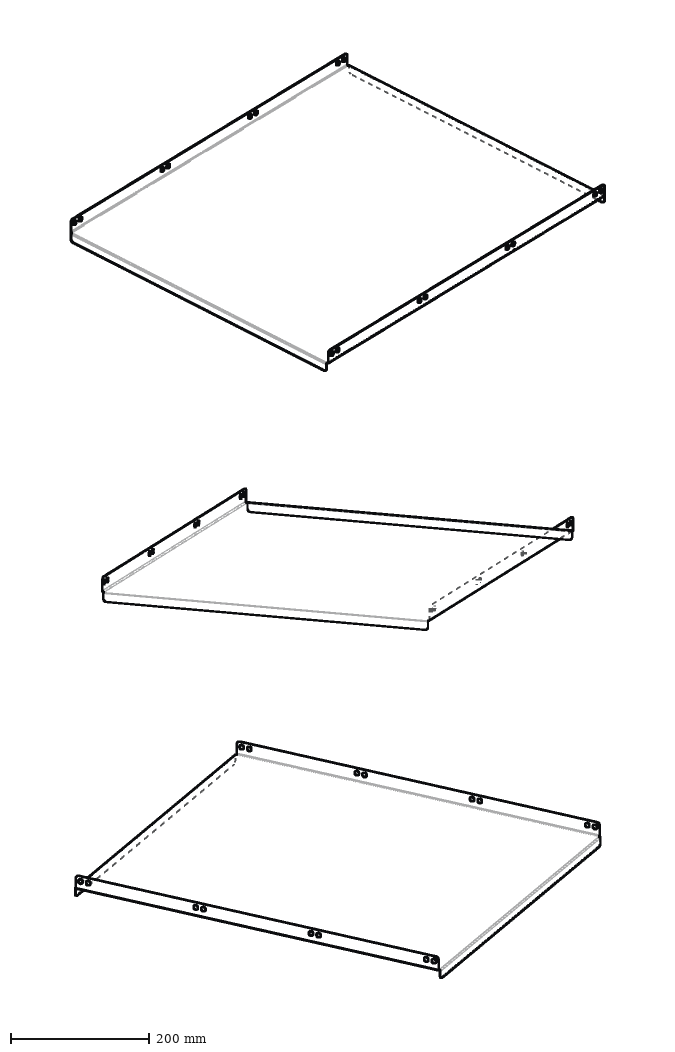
import cadquery as cq

width = 506.0
length = 596.0
height = 36.0

thickness = 1.5
inner_radius = 1.0
outer_radius = inner_radius + thickness

end_flange_depth = 15.0
side_flange_height = height - end_flange_depth + thickness
flange_corner_radius = 5.0

hole_diameter = 7.0
hole_pair_spacing = 12.5
hole_group_pitch = 188.0
hole_group_count = 4
hole_drop = 8.5

flange_top_z = side_flange_height - thickness
flat_width = width - 2 * outer_radius
flat_length = length - 2 * outer_radius


def bent_flange(plane, edge, reach, run):
    """L-shaped bend and flange starting at the flat's edge, with square free corners.

    The sketch's first axis points outward and its second axis points the way the flange turns.
    The sketch origin lies on the outside face of the sheet.
    """
    outer_face = edge + outer_radius
    inner_face = edge + inner_radius
    flange = (
        cq.Workplane(plane)
        .moveTo(edge, 0)
        .radiusArc((outer_face, outer_radius), -outer_radius)
        .lineTo(outer_face, reach)
        .lineTo(inner_face, reach)
        .lineTo(inner_face, outer_radius)
        .radiusArc((edge, thickness), inner_radius)
        .close()
        .extrude(run / 2, both=True)
    )
    return flange


def side_flange(direction):
    plane = cq.Plane(
        origin=(0, 0, -thickness), xDir=(direction, 0, 0), normal=(0, -direction, 0)
    )
    flange = bent_flange(plane, flat_width / 2, side_flange_height, flat_length)
    return flange.edges("|X and >Z").edges("<Y or >Y").fillet(flange_corner_radius)


def end_flange(direction):
    plane = cq.Plane(
        origin=(0, 0, 0), xDir=(0, direction, 0), normal=(-direction, 0, 0)
    )
    flange = bent_flange(plane, flat_length / 2, end_flange_depth, flat_width)
    return flange.edges("|Y and <Z").edges("<X or >X").fillet(flange_corner_radius)


def flange_holes():
    first_group = -hole_group_pitch * (hole_group_count - 1) / 2
    centres = []
    for group in range(hole_group_count):
        group_y = first_group + group * hole_group_pitch
        for offset in (-hole_pair_spacing / 2, hole_pair_spacing / 2):
            centres.append((group_y + offset, flange_top_z - hole_drop))
    return (
        cq.Workplane("YZ")
        .pushPoints(centres)
        .circle(hole_diameter / 2)
        .extrude(width, both=True)
    )


result = cq.Workplane("XY").box(
    flat_width, flat_length, thickness, centered=(True, True, False)
).translate((0, 0, -thickness))

for direction in (-1, 1):
    result = result.union(side_flange(direction))
    result = result.union(end_flange(direction))

result = result.cut(flange_holes())